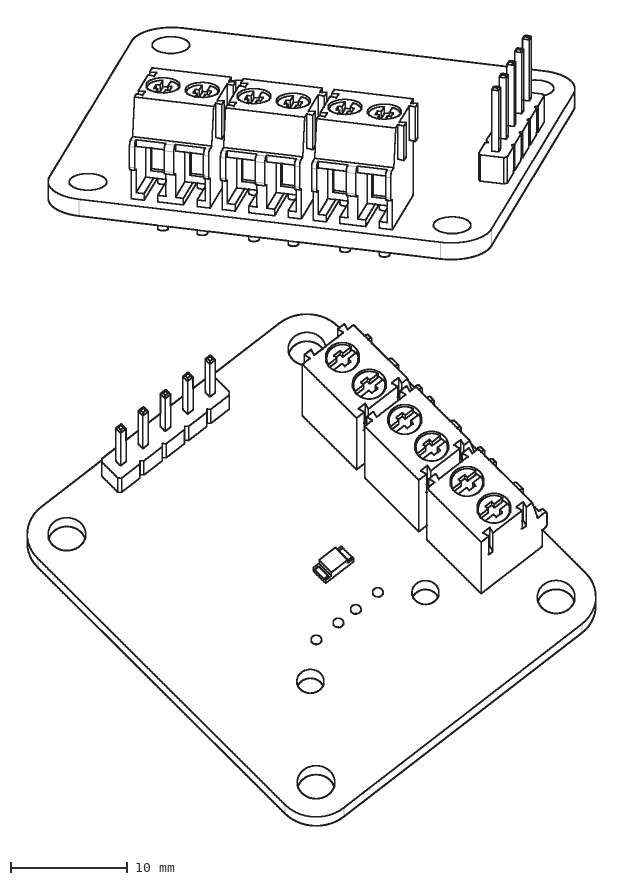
import cadquery as cq
BOARD_LENGTH = 39.2
BOARD_WIDTH = 34.3
BOARD_THICKNESS = 1.6
SEAT_GAP = 0.08
BOARD_CORNER_RADIUS = 3.55
MOUNT_HOLE_DIAMETER = 3.2
MOUNT_HOLE_INSET = 3.45

SOCKET_CENTRE_Y = 0.98
POST_HOLE_DIAMETER = 2.3
POST_HOLE_X = -8.43
POST_HOLE_SPACING = 13.15
CONTACT_HOLE_DIAMETER = 0.9
CONTACT_HOLE_X = -5.72
INNER_CONTACT_SPACING = 2.0
OUTER_CONTACT_SPACING = 7.0

TERMINAL_COUNT = 3
TERMINAL_PITCH = 8.08
TERMINAL_ROW_CENTRE_X = -0.1
TERMINAL_WIDTH = 7.0
TERMINAL_HEIGHT = 9.17
TERMINAL_BACK_Y = -9.05
TERMINAL_FRONT_Y = -16.05
POLE_PITCH = 3.5
POLE_Y = -12.07

TOP_FRONT_Y = -14.9
SLOPE_FOOT_Y = -15.52
NOSE_Y = -16.6
NOSE_TOP = 5.7
NOSE_BOTTOM = 2.85
NOSE_RADIUS = 0.45

ENTRY_WIDTH = 2.63
ENTRY_BOTTOM = 0.63
ENTRY_TOP = 5.05
ENTRY_DEPTH = 3.15
CLAMP_WIDTH = 1.75
CLAMP_BOTTOM = 1.3
CLAMP_HEIGHT = 2.5
CLAMP_DEPTH = 0.4
PIN_SLOT_WIDTH = 1.2
TERMINAL_PIN_DIAMETER = 0.9
TERMINAL_PIN_BOTTOM_Z = -2.82

SCREW_RECESS_DIAMETER = 2.9
SCREW_HEAD_DIAMETER = 2.7
SCREW_RECESS_DEPTH = 0.85
SCREW_HEAD_SINK = 0.2
SCREW_SLOT_WIDTH = 0.7
SCREW_ARM_SPAN = 1.4

DOVETAIL_SPACING = 3.8
DOVETAIL_LENGTH = 3.3
DOVETAIL_DEPTH = 0.6
DOVETAIL_ROOT_WIDTH = 0.47
DOVETAIL_TIP_WIDTH = 0.8

HEADER_PIN_COUNT = 5
HEADER_PITCH = 2.55
HEADER_X = 17.35
HEADER_CENTRE_Y = 1.37
HEADER_HEIGHT = 2.5
HEADER_CHAMFER = 0.25
HEADER_PIN_SIDE = 0.63
HEADER_PIN_BOTTOM_Z = -1.35
HEADER_PIN_TOP_Z = 10.2
HEADER_PIN_TIP_CHAMFER = 0.15

CHIP_X = -1.35
CHIP_Y = -1.35
CHIP_WIDTH = 1.6
CHIP_LENGTH = 3.2
CHIP_BASE_HEIGHT = 0.55
LENS_LENGTH = 1.9
LENS_HEIGHT = 0.6
PAD_WIDTH = 1.2
PAD_LENGTH = 0.47
PAD_RECESS = 0.08

SEAT_Z = BOARD_THICKNESS + SEAT_GAP
TERMINAL_TOP_Z = SEAT_Z + TERMINAL_HEIGHT
TERMINAL_CENTRES_X = [
    TERMINAL_ROW_CENTRE_X + (i - (TERMINAL_COUNT - 1) / 2) * TERMINAL_PITCH for i in range(TERMINAL_COUNT)
]
POLE_OFFSETS_X = [-POLE_PITCH / 2, POLE_PITCH / 2]
HEADER_PINS = [
    (HEADER_X, HEADER_CENTRE_Y + (i - (HEADER_PIN_COUNT - 1) / 2) * HEADER_PITCH)
    for i in range(HEADER_PIN_COUNT)
]


def block(x_range, y_range, z_range):
    """Box between two limits on each axis."""
    lows = (x_range[0], y_range[0], z_range[0])
    sizes = (x_range[1] - x_range[0], y_range[1] - y_range[0], z_range[1] - z_range[0])
    return cq.Workplane("XY").box(*sizes, centered=False).translate(lows)


def span(centre, size):
    """Lower and upper limit of a length about its centre."""
    return (centre - size / 2, centre + size / 2)


def cylinder(x, y, diameter, z_bottom, z_top):
    """Upright cylinder."""
    return cq.Workplane("XY", origin=(x, y, z_bottom)).circle(diameter / 2).extrude(z_top - z_bottom)


def make_board():
    board = (
        cq.Workplane("XY")
        .rect(BOARD_LENGTH, BOARD_WIDTH)
        .extrude(BOARD_THICKNESS)
        .edges("|Z")
        .fillet(BOARD_CORNER_RADIUS)
    )
    mount_spacing_x = BOARD_LENGTH - 2 * MOUNT_HOLE_INSET
    mount_spacing_y = BOARD_WIDTH - 2 * MOUNT_HOLE_INSET
    mount_holes = (
        cq.Workplane("XY")
        .rect(mount_spacing_x, mount_spacing_y, forConstruction=True)
        .vertices()
        .circle(MOUNT_HOLE_DIAMETER / 2)
        .extrude(BOARD_THICKNESS)
    )
    board = board.cut(mount_holes)
    for y in span(SOCKET_CENTRE_Y, POST_HOLE_SPACING):
        board = board.cut(cylinder(POST_HOLE_X, y, POST_HOLE_DIAMETER, 0, BOARD_THICKNESS))
    for spacing in (INNER_CONTACT_SPACING, OUTER_CONTACT_SPACING):
        for y in span(SOCKET_CENTRE_Y, spacing):
            board = board.cut(cylinder(CONTACT_HOLE_X, y, CONTACT_HOLE_DIAMETER, 0, BOARD_THICKNESS))
    for centre_x in TERMINAL_CENTRES_X:
        for offset_x in POLE_OFFSETS_X:
            board = board.cut(
                cylinder(centre_x + offset_x, POLE_Y, TERMINAL_PIN_DIAMETER, 0, BOARD_THICKNESS)
            )
    header_holes = cq.Workplane("XY").pushPoints(HEADER_PINS).rect(HEADER_PIN_SIDE, HEADER_PIN_SIDE)
    return board.cut(header_holes.extrude(BOARD_THICKNESS))


def terminal_housing():
    """Terminal profile in the YZ plane, extruded across its width."""
    nose_top = SEAT_Z + NOSE_TOP
    nose_bottom = SEAT_Z + NOSE_BOTTOM
    nose_back = NOSE_Y + NOSE_RADIUS
    mid_arc = NOSE_RADIUS * (1 - 0.5**0.5)
    profile = (
        cq.Workplane("YZ", origin=(-TERMINAL_WIDTH / 2, 0, 0))
        .moveTo(TERMINAL_BACK_Y, SEAT_Z)
        .lineTo(TERMINAL_BACK_Y, TERMINAL_TOP_Z)
        .lineTo(TOP_FRONT_Y, TERMINAL_TOP_Z)
        .lineTo(SLOPE_FOOT_Y, nose_top)
        .lineTo(nose_back, nose_top)
        .threePointArc((NOSE_Y + mid_arc, nose_top - mid_arc), (NOSE_Y, nose_top - NOSE_RADIUS))
        .lineTo(NOSE_Y, nose_bottom + NOSE_RADIUS)
        .threePointArc((NOSE_Y + mid_arc, nose_bottom + mid_arc), (nose_back, nose_bottom))
        .lineTo(TERMINAL_FRONT_Y, nose_bottom)
        .lineTo(TERMINAL_FRONT_Y, SEAT_Z)
        .close()
    )
    return profile.extrude(TERMINAL_WIDTH)


def wire_entry(x):
    """Everything cut away for the wire of one pole."""
    entry_width = span(x, ENTRY_WIDTH)
    entry_bottom = SEAT_Z + ENTRY_BOTTOM
    entry_back = TERMINAL_FRONT_Y + ENTRY_DEPTH
    clamp_bottom = SEAT_Z + CLAMP_BOTTOM
    nose_gap = block(
        entry_width, (NOSE_Y, TERMINAL_FRONT_Y), (entry_bottom, SEAT_Z + NOSE_TOP)
    )
    opening = block(entry_width, (TERMINAL_FRONT_Y, entry_back), (entry_bottom, SEAT_Z + ENTRY_TOP))
    clamp = block(
        span(x, CLAMP_WIDTH), (entry_back, entry_back + CLAMP_DEPTH), (clamp_bottom, clamp_bottom + CLAMP_HEIGHT)
    )
    pin_slot = block(span(x, PIN_SLOT_WIDTH), (TERMINAL_FRONT_Y, POLE_Y), (SEAT_Z, entry_bottom))
    pin_slot_end = cylinder(x, POLE_Y, PIN_SLOT_WIDTH, SEAT_Z, entry_bottom)
    return nose_gap.union(opening).union(clamp).union(pin_slot).union(pin_slot_end)


def screw_head(x):
    recess_floor = TERMINAL_TOP_Z - SCREW_RECESS_DEPTH
    head_top = TERMINAL_TOP_Z - SCREW_HEAD_SINK
    head = cylinder(x, POLE_Y, SCREW_HEAD_DIAMETER, recess_floor, head_top)
    depth = (recess_floor, head_top)
    slot = block(span(x, SCREW_SLOT_WIDTH), span(POLE_Y, SCREW_HEAD_DIAMETER), depth)
    arms = block(span(x, SCREW_ARM_SPAN), span(POLE_Y, SCREW_SLOT_WIDTH), depth)
    return head.cut(slot).cut(arms)


def dovetails(root_x):
    """Pair of upright dovetails that widen from their root towards +X."""
    tip_x = root_x + DOVETAIL_DEPTH
    pair = cq.Workplane("XY")
    for y in span(POLE_Y, DOVETAIL_SPACING):
        outline = cq.Workplane("XY", origin=(0, y, TERMINAL_TOP_Z - DOVETAIL_LENGTH)).polyline(
            [
                (root_x, -DOVETAIL_ROOT_WIDTH / 2),
                (tip_x, -DOVETAIL_TIP_WIDTH / 2),
                (tip_x, DOVETAIL_TIP_WIDTH / 2),
                (root_x, DOVETAIL_ROOT_WIDTH / 2),
            ]
        )
        pair = pair.add(outline.close().extrude(DOVETAIL_LENGTH))
    return pair.combine()


def make_terminal():
    """Terminal centred on X = 0."""
    terminal = terminal_housing()
    for x in POLE_OFFSETS_X:
        recess_floor = TERMINAL_TOP_Z - SCREW_RECESS_DEPTH
        terminal = terminal.cut(wire_entry(x))
        terminal = terminal.cut(cylinder(x, POLE_Y, SCREW_RECESS_DIAMETER, recess_floor, TERMINAL_TOP_Z))
        terminal = terminal.union(screw_head(x))
        pin_top = SEAT_Z + ENTRY_BOTTOM
        terminal = terminal.union(cylinder(x, POLE_Y, TERMINAL_PIN_DIAMETER, TERMINAL_PIN_BOTTOM_Z, pin_top))
    terminal = terminal.cut(dovetails(-TERMINAL_WIDTH / 2))
    return terminal.union(dovetails(TERMINAL_WIDTH / 2))


def make_header():
    segments = (
        cq.Workplane("XY", origin=(0, 0, SEAT_Z))
        .pushPoints(HEADER_PINS)
        .rect(HEADER_PITCH, HEADER_PITCH)
        .extrude(HEADER_HEIGHT, combine=False)
        .edges("|Z")
        .chamfer(HEADER_CHAMFER)
    )
    pins = (
        cq.Workplane("XY", origin=(0, 0, HEADER_PIN_BOTTOM_Z))
        .pushPoints(HEADER_PINS)
        .rect(HEADER_PIN_SIDE, HEADER_PIN_SIDE)
        .extrude(HEADER_PIN_TOP_Z - HEADER_PIN_BOTTOM_Z, combine=False)
        .faces("<Z or >Z")
        .chamfer(HEADER_PIN_TIP_CHAMFER)
    )
    return segments.combine().union(pins)


def make_chip():
    base_top = SEAT_Z + CHIP_BASE_HEIGHT
    width = span(CHIP_X, CHIP_WIDTH)
    chip = block(width, span(CHIP_Y, CHIP_LENGTH), (SEAT_Z, base_top))
    chip = chip.union(block(width, span(CHIP_Y, LENS_LENGTH), (base_top, base_top + LENS_HEIGHT)))
    for y in span(CHIP_Y, CHIP_LENGTH - PAD_LENGTH):
        chip = chip.cut(block(span(CHIP_X, PAD_WIDTH), span(y, PAD_LENGTH), (base_top - PAD_RECESS, base_top)))
    return chip


board = make_board()
terminals = [make_terminal().translate((x, 0, 0)) for x in TERMINAL_CENTRES_X]
header = make_header()
chip = make_chip()

bodies = [board, *terminals, header, chip]

result = cq.Compound.makeCompound([body.solids().val() for body in bodies])